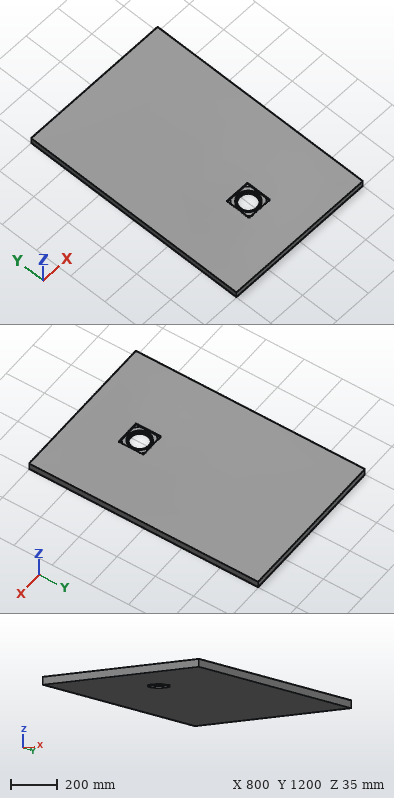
import cadquery as cq
import math

width = 800.0
length = 1200.0
height = 35.0

dish_depth = 14.5
grid_steps = 24
fit_tolerance = 0.01
seam_tolerance = 0.05

drain_y = -300.0
recess_side = 130.0
recess_depth = 7.0
corner_leg = 22.0
octagon_step = 1.5

seat_diameter = 111.0
seat_depth = 2.0
rim_bevel = 2.0
ledge_diameter = 103.0
ledge_depth = 1.0
outlet_diameter = 95.0

half_recess = recess_side / 2
seam_y = drain_y + half_recess
recess_front_y = drain_y - half_recess
rear_y = length / 2
front_y = -length / 2
corner_floor_z = height - dish_depth - recess_depth
octagon_floor_z = corner_floor_z - octagon_step


def fall(distance, reach):
    """Smooth drop-off from 1 at the recess edge to 0 at the tray rim."""
    share = min(max(distance / reach, 0.0), 1.0)
    return math.cos(share * math.pi / 2) ** 2


def top_height(x, y):
    """Height of the dished top, level with the rim along the whole outline."""
    across = fall(abs(x) - half_recess, width / 2 - half_recess)
    if y > seam_y:
        along = fall(y - seam_y, rear_y - seam_y)
    else:
        along = fall(recess_front_y - y, recess_front_y - front_y)
    return height - dish_depth * across * along


def tray_section(y_start, y_end):
    """Part of the tray between two Y positions, under one smooth top face."""
    points = []
    for i in range(grid_steps + 1):
        x = width * (i / grid_steps - 0.5)
        row = []
        for j in range(grid_steps + 1):
            y = y_start + (y_end - y_start) * j / grid_steps
            row.append(cq.Vector(x, y, top_height(x, y)))
        points.append(row)
    top_face = cq.Face.makeSplineApprox(points, tol=fit_tolerance)
    column = cq.Solid.extrudeLinear(top_face, cq.Vector(0, 0, -2 * height))
    below_base = cq.Workplane("XY").rect(2 * width, 2 * length).extrude(-2 * height)
    return cq.Workplane(obj=column).cut(below_base)


def recess():
    """Square pocket sunk below the dish, with its octagonal floor cut deeper."""
    square = cq.Workplane("XY", origin=(0, drain_y, corner_floor_z)).rect(recess_side, recess_side)
    square = square.extrude(height)
    octagon = cq.Workplane("XY", origin=(0, drain_y, octagon_floor_z)).rect(recess_side, recess_side)
    octagon = octagon.extrude(height).edges("|Z").chamfer(corner_leg)
    return square.union(octagon)


def drain_opening():
    """Stepped through hole, as a half profile turned about the drain axis."""
    seat_radius = seat_diameter / 2
    ledge_radius = ledge_diameter / 2
    outlet_radius = outlet_diameter / 2
    seat_z = octagon_floor_z - seat_depth
    ledge_z = seat_z - ledge_depth
    profile = (
        cq.Workplane("XZ", origin=(0, drain_y, 0))
        .moveTo(0, 0)
        .lineTo(outlet_radius, 0)
        .lineTo(outlet_radius, ledge_z)
        .lineTo(ledge_radius, ledge_z)
        .lineTo(ledge_radius, seat_z)
        .lineTo(seat_radius, seat_z)
        .lineTo(seat_radius + rim_bevel, octagon_floor_z)
        .lineTo(0, octagon_floor_z)
        .close()
    )
    return profile.revolve(360, (0, 0, 0), (0, 1, 0))


front_section = tray_section(front_y, seam_y)
rear_section = tray_section(seam_y, rear_y)
tray = front_section.union(rear_section, tol=seam_tolerance)
result = tray.cut(recess()).cut(drain_opening())